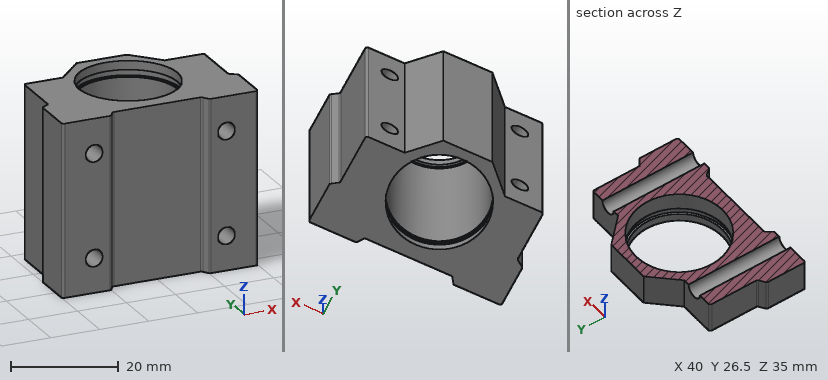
import cadquery as cq

width = 40.0
depth = 26.5
height = 35.0

shoulder_width = 36.8
shoulder_depth = 21.0
flange_depth = 8.95
flange_top_depth = 10.05
crown_width = 10.2
crown_foot_width = 20.8
corner_radius = 0.5

channel_depth = 1.5
channel_mouth_width = 20.1
channel_floor_width = 18.15
channel_edge_radius = 0.4

bore_diameter = 20.0
bore_center_y = 14.5
groove_diameter = 21.0
groove_offset = 1.8
groove_width = 1.3
seat_chamfer = 0.2

hole_diameter = 3.45
hole_spacing_x = 27.0
hole_spacing_z = 21.0


def make_block():
    """Extrude the symmetric cross-section and round its long edges."""
    right_side = [
        (channel_floor_width / 2, channel_depth),
        (channel_mouth_width / 2, 0),
        (width / 2, 0),
        (width / 2, flange_depth),
        (shoulder_width / 2, flange_top_depth),
        (shoulder_width / 2, shoulder_depth),
        (crown_foot_width / 2, shoulder_depth),
        (crown_width / 2, depth),
    ]
    left_side = [(-x, y) for x, y in reversed(right_side)]
    block = cq.Workplane("XY").polyline(right_side + left_side).close().extrude(height)

    def round_edges(body, points, radius):
        for x, y in points:
            for side in (-1, 1):
                edge = cq.selectors.NearestToPointSelector((side * x, y, height / 2))
                body = body.edges("|Z").edges(edge).fillet(radius)
        return body

    outer_corners = right_side[2:6]
    channel_edges = right_side[:2]
    block = round_edges(block, outer_corners, corner_radius)
    return round_edges(block, channel_edges, channel_edge_radius)


def cylinder_on_bore_axis(diameter, bottom, length):
    return (
        cq.Workplane("XY", origin=(0, bore_center_y, bottom))
        .circle(diameter / 2)
        .extrude(length)
    )


def cut_bore(body):
    """Cut the through bore, a ring groove near each end and the chamfers inside the grooves."""
    groove_end = groove_offset + groove_width
    bore = cylinder_on_bore_axis(bore_diameter, 0, height)
    for bottom in (groove_offset, height - groove_end):
        bore = bore.union(cylinder_on_bore_axis(groove_diameter, bottom, groove_width))

    mouth_diameter = bore_diameter + 2 * seat_chamfer
    lower_cone = (
        cq.Workplane("XY", origin=(0, bore_center_y, groove_end))
        .circle(mouth_diameter / 2)
        .workplane(offset=seat_chamfer)
        .circle(bore_diameter / 2)
        .loft(ruled=True)
    )
    upper_cone = lower_cone.mirror("XY", (0, 0, height / 2))
    return body.cut(bore).cut(lower_cone).cut(upper_cone)


def cut_mounting_holes(body):
    """Cut four holes through the block along Y."""
    holes = (
        cq.Workplane("XZ", origin=(0, 0, height / 2))
        .rarray(hole_spacing_x, hole_spacing_z, 2, 2)
        .circle(hole_diameter / 2)
        .extrude(-depth)
    )
    return body.cut(holes)


result = cut_mounting_holes(cut_bore(make_block()))